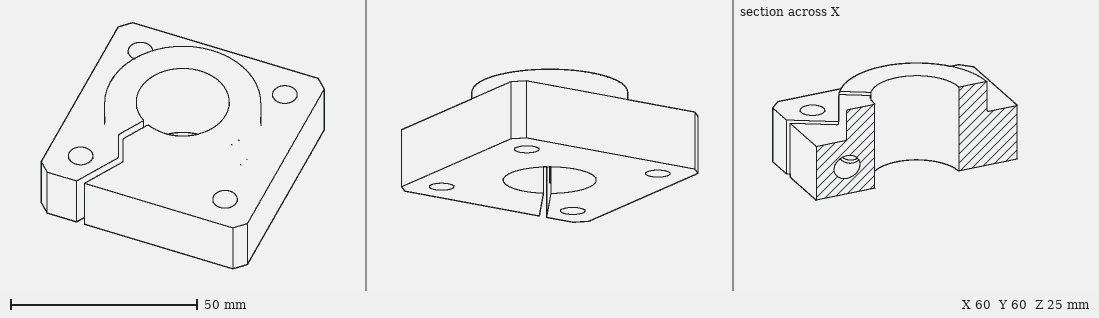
import cadquery as cq

flange_side = 60.0
flange_thickness = 16.0
corner_chamfer = 3.0

boss_height = 9.0
boss_diameter = 42.0
boss_edge_radius = 0.5
bore_diameter = 25.0

mount_spacing = 42.0
mount_diameter = 6.6

slit_width = 2.0
slit_angle = -120.0
slit_length = flange_side

screw_radius_from_bore = 18.0
screw_head_diameter = 11.0
screw_hole_diameter = 6.6
head_seat_to_slit_center = 14.2
screw_depth_past_slit = 15.0

total_height = flange_thickness + boss_height


def make_body():
    """Chamfered square flange carrying a boss with a rounded rim and a filleted foot."""
    flange = (
        cq.Workplane("XY")
        .rect(flange_side, flange_side)
        .extrude(flange_thickness)
        .edges("|Z")
        .chamfer(corner_chamfer)
    )
    boss_radius = boss_diameter / 2
    foot_radius = boss_radius + boss_edge_radius
    rim_radius = boss_radius - boss_edge_radius
    boss = (
        cq.Workplane("XZ")
        .moveTo(0, flange_thickness)
        .lineTo(foot_radius, flange_thickness)
        .radiusArc((boss_radius, flange_thickness + boss_edge_radius), boss_edge_radius)
        .lineTo(boss_radius, total_height - boss_edge_radius)
        .radiusArc((rim_radius, total_height), -boss_edge_radius)
        .lineTo(0, total_height)
        .close()
        .revolve(360, (0, 0), (0, 1))
    )
    return flange.union(boss)


def make_vertical_holes():
    """Cutters for the central bore and the four mounting holes."""
    bore = cq.Workplane("XY").circle(bore_diameter / 2).extrude(total_height)
    mounts = (
        cq.Workplane("XY")
        .rect(mount_spacing, mount_spacing, forConstruction=True)
        .vertices()
        .circle(mount_diameter / 2)
        .extrude(flange_thickness)
    )
    return bore.union(mounts)


def make_slit():
    """Cutter from the bore axis out through the side of the flange."""
    return (
        cq.Workplane("XY")
        .rect(slit_length, slit_width)
        .extrude(total_height)
        .translate((slit_length / 2, 0, 0))
        .rotate((0, 0, 0), (0, 0, 1), slit_angle)
    )


def make_screw_hole():
    """Counterbored blind hole, modeled across a slit along +X and then turned into place."""
    cross_section = cq.Workplane(
        "XZ", origin=(screw_radius_from_bore, 0, flange_thickness / 2)
    )
    head = (
        cross_section.workplane(offset=head_seat_to_slit_center)
        .circle(screw_head_diameter / 2)
        .extrude(flange_side)
    )
    shank = (
        cross_section.workplane(offset=-screw_depth_past_slit)
        .circle(screw_hole_diameter / 2)
        .extrude(screw_depth_past_slit + head_seat_to_slit_center)
    )
    return head.union(shank).rotate((0, 0, 0), (0, 0, 1), slit_angle)


result = make_body().cut(make_vertical_holes()).cut(make_slit()).cut(make_screw_hole())